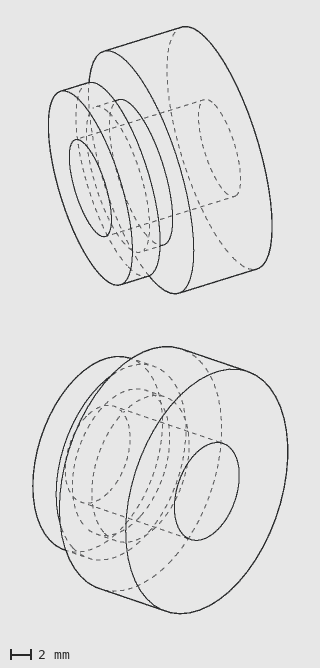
import cadquery as cq

body_diameter = 25
body_length = 8.5
neck_diameter = 15
neck_length = 2.5
flange_diameter = 20
flange_length = 3
bore_diameter = 10

total_length = flange_length + neck_length + body_length


def cylinder_along_y(diameter, start, length):
    """Solid cylinder on the Y axis, running from start toward +Y."""
    return cq.Workplane("XZ", origin=(0, start, 0)).circle(diameter / 2).extrude(-length)


flange = cylinder_along_y(flange_diameter, 0, flange_length)
neck = cylinder_along_y(neck_diameter, flange_length, neck_length)
body = cylinder_along_y(body_diameter, flange_length + neck_length, body_length)

bore = cylinder_along_y(bore_diameter, 0, total_length)

result = flange.union(neck).union(body).cut(bore)